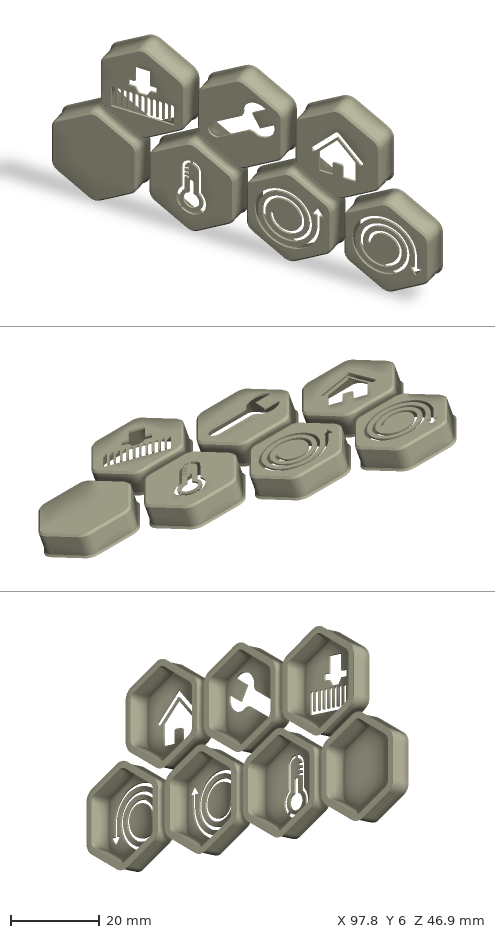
import cadquery as cq
import math

SET_LENGTH = 97.8
CAP_DEPTH = 6.0
BODY_FLATS = 21.9
CORNER_RADIUS = 2.9
FRONT_CHAMFER = 0.5
RIM_FLARE = 0.44
RIM_HEIGHT = 0.5
WALL = 1.2
FACE_THICKNESS = 0.5

RIM_FLATS = BODY_FLATS + 2 * RIM_FLARE
CAP_PITCH = (SET_LENGTH - RIM_FLATS) / 3
ROW_PITCH = CAP_PITCH * math.sqrt(3) / 2

BARREL_HALF = 2.0
BARREL_TOP = 6.9
COLLAR_HALF = 3.6
COLLAR_TOP = 2.9
COLLAR_BOTTOM = 1.4
NOZZLE_TIP_HALF = 1.1
NOZZLE_TIP = -0.1
COMB_WIDTH = 16.1
COMB_TOP = -0.5
COMB_BOTTOM = -6.0
COMB_BASE_HEIGHT = 0.8
COMB_SLOTS = 11
COMB_RIB = 0.5

WRENCH_TILT = 30.0
HANDLE_END = -7.2
HANDLE_HALF = 2.0
NECK_START = 1.7
NECK_MIDDLE = (2.3, 2.4)
SHOULDER = (2.9, 3.4)
HEAD_SIDE = (6.2, 4.6)
JAW_TIP = 8.9
JAW_FLOOR = 4.8
JAW_HALF = 2.1

ROOF_WIDTH = 1.2
ROOF_PEAK = 5.6
ROOF_REACH = 6.1
ROOF_SLOPE = 45.0
HOUSE_HALF = 4.7
GABLE_PEAK = 4.0
HOUSE_BOTTOM = -6.0
DOOR_HALF = 1.3
DOOR_TOP = -2.5
DOOR_ROUNDING = 0.5

TUBE_OUTER = 2.5
TUBE_INNER = 1.8
TUBE_TOP = 7.3
BULB_CENTER = -3.5
BULB_OUTER = 3.8
BULB_INNER = 2.9
MERCURY_BULB = 2.1
MERCURY_HALF = 0.6
MERCURY_TOP = 2.1
TICK_COUNT = 3
TICK_HEIGHT = 0.6
TICK_PITCH = 1.2
TICK_END = -0.6
LOWEST_TICK = 2.6
BRIDGE_WIDTH = 0.4
BRIDGE_ANGLES = (90, 225, 315)

SPIRAL_START = -4.4
SPIRAL_FIRST_RADIUS = 4.0
SPIRAL_GROWTH = 1.0
SPIRAL_HALF_TURNS = 5
SPIRAL_SLOT = 0.8
ARROW_BASE = 3.0
ARROW_TIP = 5.1
ARROW_HALF = 1.5


def face_sketch(depth):
    """Workplane at the given depth behind the front face, facing forward."""
    return cq.Workplane("XZ", origin=(0, depth, 0))


def rounded_hexagon(flats, radius):
    """Hexagon with two flats upright, drawn at the open back."""
    tip = flats / math.sqrt(3)
    corners = [
        (tip * math.cos(math.radians(a)), tip * math.sin(math.radians(a)))
        for a in range(30, 390, 60)
    ]
    outline = cq.Sketch().polygon(corners + corners[:1]).vertices().fillet(radius)
    return face_sketch(CAP_DEPTH).placeSketch(outline)


def blank_cap():
    """Hollow hexagonal cap, open at the back, with a flared back rim."""
    body = rounded_hexagon(BODY_FLATS, CORNER_RADIUS).extrude(CAP_DEPTH)
    body = body.faces("<Y").chamfer(FRONT_CHAMFER)
    flare_angle = math.degrees(math.atan2(RIM_FLARE, RIM_HEIGHT))
    rim = rounded_hexagon(RIM_FLATS, CORNER_RADIUS + RIM_FLARE).extrude(RIM_HEIGHT, taper=flare_angle)
    cavity = rounded_hexagon(BODY_FLATS - 2 * WALL, CORNER_RADIUS - WALL)
    return body.union(rim).cut(cavity.extrude(CAP_DEPTH - FACE_THICKNESS))


def cutter(outline):
    """Prism that takes a closed outline through the front plate."""
    return outline.extrude(FACE_THICKNESS)


def plate():
    """Workplane on the inner side of the front plate."""
    return face_sketch(FACE_THICKNESS)


def box_cutter(left, right, bottom, top):
    """Rectangular cutter given by its four sides."""
    middle = ((left + right) / 2, (bottom + top) / 2)
    return cutter(plate().center(*middle).rect(right - left, top - bottom))


def tilt(shape, angle):
    """Turn counterclockwise as seen from the front."""
    return shape.rotate((0, 0, 0), (0, -1, 0), angle)


def nozzle_icon():
    right_side = [
        (BARREL_HALF, BARREL_TOP),
        (BARREL_HALF, COLLAR_TOP),
        (COLLAR_HALF, COLLAR_TOP),
        (COLLAR_HALF, COLLAR_BOTTOM),
        (BARREL_HALF, COLLAR_BOTTOM),
        (NOZZLE_TIP_HALF, NOZZLE_TIP),
    ]
    left_side = [(-x, z) for x, z in reversed(right_side)]
    nozzle = cutter(plate().polyline(right_side + left_side).close())

    slot_width = (COMB_WIDTH - (COMB_SLOTS - 1) * COMB_RIB) / COMB_SLOTS
    arch_start = COMB_TOP - slot_width / 2
    half = COMB_WIDTH / 2
    icon = nozzle.union(box_cutter(-half, half, COMB_BOTTOM, COMB_BOTTOM + COMB_BASE_HEIGHT))
    for i in range(COMB_SLOTS):
        left = -half + i * (slot_width + COMB_RIB)
        slot = (
            plate().moveTo(left, COMB_BOTTOM)
            .lineTo(left + slot_width, COMB_BOTTOM)
            .lineTo(left + slot_width, arch_start)
            .threePointArc((left + slot_width / 2, COMB_TOP), (left, arch_start))
            .close()
        )
        icon = icon.union(cutter(slot))
    return icon


def wrench_icon():
    outline = (
        plate().moveTo(HANDLE_END, HANDLE_HALF)
        .lineTo(NECK_START, HANDLE_HALF)
        .threePointArc(NECK_MIDDLE, SHOULDER)
        .threePointArc(HEAD_SIDE, (JAW_TIP, JAW_HALF))
        .lineTo(JAW_FLOOR, JAW_HALF)
        .lineTo(JAW_FLOOR, -JAW_HALF)
        .lineTo(JAW_TIP, -JAW_HALF)
        .threePointArc((HEAD_SIDE[0], -HEAD_SIDE[1]), (SHOULDER[0], -SHOULDER[1]))
        .threePointArc((NECK_MIDDLE[0], -NECK_MIDDLE[1]), (NECK_START, -HANDLE_HALF))
        .lineTo(HANDLE_END, -HANDLE_HALF)
        .threePointArc((HANDLE_END - HANDLE_HALF, 0), (HANDLE_END, HANDLE_HALF))
        .close()
    )
    return tilt(cutter(outline), WRENCH_TILT)


def house_icon():
    slope = math.tan(math.radians(ROOF_SLOPE))
    eaves = GABLE_PEAK - HOUSE_HALF * slope
    walls = [
        (-HOUSE_HALF, HOUSE_BOTTOM),
        (HOUSE_HALF, HOUSE_BOTTOM),
        (HOUSE_HALF, eaves),
        (0, GABLE_PEAK),
        (-HOUSE_HALF, eaves),
    ]
    door = box_cutter(-DOOR_HALF, DOOR_HALF, HOUSE_BOTTOM, DOOR_TOP)
    door = door.edges("|Y and >Z").fillet(DOOR_ROUNDING)
    icon = cutter(plate().polyline(walls).close()).cut(door)

    slot_length = ROOF_REACH / math.cos(math.radians(ROOF_SLOPE)) + ROOF_WIDTH
    for side in (-1, 1):
        middle = (side * ROOF_REACH / 2, ROOF_PEAK - ROOF_REACH * slope / 2)
        icon = icon.union(cutter(plate().center(*middle).slot2D(slot_length, ROOF_WIDTH, -ROOF_SLOPE * side)))
    return icon


def thermometer_shape(half_width, tube_top, bulb_radius):
    """Round-topped tube standing in a round bulb."""
    tube = (
        plate().moveTo(-half_width, BULB_CENTER)
        .lineTo(half_width, BULB_CENTER)
        .lineTo(half_width, tube_top - half_width)
        .threePointArc((0, tube_top), (-half_width, tube_top - half_width))
        .close()
    )
    bulb = plate().center(0, BULB_CENTER).circle(bulb_radius)
    return cutter(tube).union(cutter(bulb))


def thermometer_icon():
    inner_top = TUBE_TOP - (TUBE_OUTER - TUBE_INNER)
    outline = thermometer_shape(TUBE_OUTER, TUBE_TOP, BULB_OUTER)
    outline = outline.cut(thermometer_shape(TUBE_INNER, inner_top, BULB_INNER))
    bridge_reach = TUBE_TOP - BULB_CENTER
    for angle in BRIDGE_ANGLES:
        bridge = tilt(box_cutter(0, bridge_reach, -BRIDGE_WIDTH / 2, BRIDGE_WIDTH / 2), angle)
        outline = outline.cut(bridge.translate((0, 0, BULB_CENTER)))
    icon = outline.union(thermometer_shape(MERCURY_HALF, MERCURY_TOP, MERCURY_BULB))
    tick_start = -(TUBE_OUTER + TUBE_INNER) / 2
    for i in range(TICK_COUNT):
        bottom = LOWEST_TICK + i * TICK_PITCH - TICK_HEIGHT / 2
        icon = icon.union(box_cutter(tick_start, TICK_END, bottom, bottom + TICK_HEIGHT))
    return icon


def spiral_icon():
    """Slot winding outward counterclockwise in half turns, ending in an arrow that points up."""
    half_slot = SPIRAL_SLOT / 2
    half_turns = []
    start = SPIRAL_START
    for turn in range(SPIRAL_HALF_TURNS):
        radius = SPIRAL_FIRST_RADIUS + turn * SPIRAL_GROWTH
        direction = 1 if turn % 2 == 0 else -1
        middle = start + direction * radius
        outer = radius + half_slot
        inner = radius - half_slot
        half_turn = (
            plate().moveTo(middle - outer, 0)
            .threePointArc((middle, -direction * outer), (middle + outer, 0))
            .lineTo(middle + inner, 0)
            .threePointArc((middle, -direction * inner), (middle - inner, 0))
            .close()
        )
        half_turns.append(cutter(half_turn))
        start = middle + direction * radius
    shaft = box_cutter(start - half_slot, start + half_slot, 0, ARROW_BASE)
    head = [(start - ARROW_HALF, ARROW_BASE), (start + ARROW_HALF, ARROW_BASE), (start, ARROW_TIP)]
    icon = shaft.union(cutter(plate().polyline(head).close()))
    for half_turn in half_turns:
        icon = icon.union(half_turn)
    return icon


def place(cap, column, row):
    """Column counts pitches from the left cap of the lower row."""
    return cap.translate((column * CAP_PITCH, 0, row * ROW_PITCH))


blank = blank_cap()
spiral = spiral_icon()

plain_cap = place(blank, 0, 0)
thermometer_cap = place(blank.cut(thermometer_icon()), 1, 0)
spiral_up_cap = place(blank.cut(spiral), 2, 0)
spiral_down_cap = place(blank.cut(spiral.mirror("XY")), 3, 0)
nozzle_cap = place(blank.cut(nozzle_icon()), 0.5, 1)
wrench_cap = place(blank.cut(wrench_icon()), 1.5, 1)
house_cap = place(blank.cut(house_icon()), 2.5, 1)

result = cq.Compound.makeCompound([
    plain_cap.val(),
    thermometer_cap.val(),
    spiral_up_cap.val(),
    spiral_down_cap.val(),
    nozzle_cap.val(),
    wrench_cap.val(),
    house_cap.val(),
])